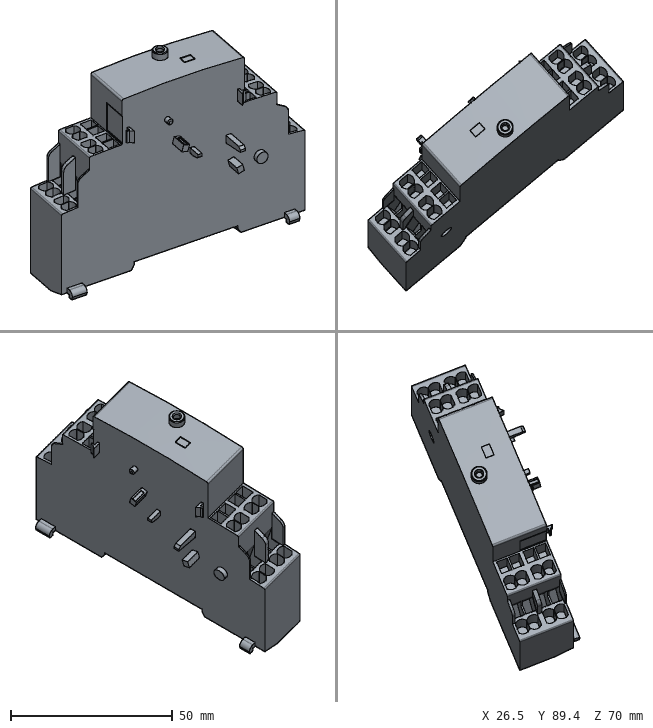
import cadquery as cq
import math

width = 18.1
overlap = 0.9
half_length = 44.7
crown_half = 22.5
crown_mid_z = 67.5
crown_edge_z = 66.7
crown_fillet = 0.7
upper_half = 34.4
upper_inner_z = 50.0
upper_outer_z = 49.6
lower_inner_z = 32.7
lower_outer_z = 31.8
step_fillet = 0.45

rail_z = 4.8
rail_taper_z = 3.75
rail_back = 20.1
rail_front = -18.0
rail_flare = 2.2

corner_start_x = 11.8
corner_z = 2.0

web_half = 38.7
web_top_z = 44.8
web_slope = math.radians(30)
web_round = 2.7
web_base_z = 26.8
web_spans = [(0, 0.9), (8.4, 9.8), (17.5, width)]

square_size = 3.5
square_lefts = [1.1, 5.1, 9.9, 13.95]
square_inner_y = 23.1
square_length = 4.0
square_depth = 8.9
tilted_top_z = 38.1
tilted_outer_y = 37.4
tilted_angle = math.radians(14)
tilted_depth = 12.5
wire_radius = 2.3
wire_entries = [
    (2.6, 0.8, 4.5),
    (6.5, 4.6, 8.3),
    (11.6, 10.0, 13.5),
    (15.65, 13.8, 17.25),
]
wire_row_ys = [30.75, 40.6]
wire_depth = 8.9


def box(x_range, y_range, z_range):
    """Box given by its limits along each axis."""
    spans = [hi - lo for lo, hi in (x_range, y_range, z_range)]
    corner = (x_range[0], y_range[0], z_range[0])
    return cq.Workplane("XY").box(*spans, centered=False).translate(corner)


def prism_x(points, x_start, x_end):
    """Closed (Y, Z) outline swept along X."""
    outline = cq.Workplane("YZ").workplane(offset=x_start).polyline(points).close()
    return outline.extrude(x_end - x_start)


def both_ends(solid):
    """The solid together with its mirror image at the other end."""
    return solid.union(solid.mirror("XZ"))


def housing():
    body = (
        cq.Workplane("YZ")
        .moveTo(half_length, 0)
        .lineTo(half_length, lower_outer_z)
        .lineTo(upper_half, lower_inner_z)
        .lineTo(upper_half, upper_outer_z)
        .lineTo(crown_half, upper_inner_z)
        .lineTo(crown_half, crown_edge_z)
        .threePointArc((0, crown_mid_z), (-crown_half, crown_edge_z))
        .lineTo(-crown_half, upper_inner_z)
        .lineTo(-upper_half, upper_outer_z)
        .lineTo(-upper_half, lower_inner_z)
        .lineTo(-half_length, lower_outer_z)
        .lineTo(-half_length, 0)
        .lineTo(rail_front - rail_flare, 0)
        .lineTo(rail_front, rail_taper_z)
        .lineTo(rail_front, rail_z)
        .lineTo(rail_back, rail_z)
        .lineTo(rail_back, rail_taper_z)
        .lineTo(rail_back + rail_flare, 0)
        .close()
        .extrude(width)
    )
    rounded_edges = [
        (crown_half, crown_edge_z, crown_fillet),
        (upper_half, upper_outer_z, step_fillet),
        (half_length, lower_outer_z, step_fillet),
    ]
    for y, z, radius in rounded_edges:
        for side in (1, -1):
            edge = cq.selectors.NearestToPointSelector((width / 2, side * y, z))
            body = body.edges("|X").edges(edge).fillet(radius)
    corner = (
        cq.Workplane("XZ")
        .polyline([(corner_start_x, 0), (width, corner_z), (width, 0)])
        .close()
        .extrude(half_length, both=True)
    )
    return body.cut(corner)


def webs():
    slope_end_z = web_top_z - (web_half - upper_half) * math.tan(web_slope)
    outline = [
        (upper_half - overlap, web_base_z),
        (web_half, web_base_z),
        (web_half, slope_end_z),
        (upper_half, web_top_z),
        (upper_half - overlap, web_top_z),
    ]
    shoulder = cq.selectors.NearestToPointSelector((width / 2, web_half, slope_end_z))
    solid = None
    for x_start, x_end in web_spans:
        web = prism_x(outline, x_start, x_end).edges("|X").edges(shoulder).fillet(web_round)
        solid = web if solid is None else solid.union(web)
    return both_ends(solid)


def terminal_openings():
    """Release openings and wire entries of one end, mirrored to the other."""
    run_y = -tilted_depth * math.sin(tilted_angle)
    run_z = -tilted_depth * math.cos(tilted_angle)
    wall_point = (upper_half, tilted_top_z)
    floor_point = (tilted_outer_y, lower_inner_z)
    tilted_outline = [
        wall_point,
        floor_point,
        (floor_point[0] + run_y, floor_point[1] + run_z),
        (wall_point[0] + run_y, wall_point[1] + run_z),
    ]
    square_ys = (square_inner_y, square_inner_y + square_length)
    square_zs = (upper_inner_z - square_depth, upper_inner_z)
    cutter = None
    for left in square_lefts:
        right = left + square_size
        opening = box((left, right), square_ys, square_zs)
        opening = opening.union(prism_x(tilted_outline, left, right))
        cutter = opening if cutter is None else cutter.union(opening)
    for y, top_z in zip(wire_row_ys, (upper_inner_z, lower_inner_z)):
        zs = (top_z - wire_depth, top_z)
        for centre, left, right in wire_entries:
            bore = cq.Workplane("XY", origin=(centre, y, zs[0])).circle(wire_radius).extrude(wire_depth)
            flats = box((left, right), (y - wire_radius, y + wire_radius), zs)
            cutter = cutter.union(bore.intersect(flats))
    return both_ends(cutter)


knob_x = 4.6
knob_radius = 2.5
knob_top_z = 70.0
knob_edge = 0.3
knob_bore_diameter = 2.15
knob_bore_depth = 2.2
knob_countersink_diameter = 2.9
countersink_angle = 90

indicator_xs = (8.8, 11.4)
indicator_ys = (4.65, 8.5)
indicator_floor_z = 67.1

panel_left = 9.1
panel_zs = (50.4, 60.7)
panel_depth = 0.3
panel_bevel = 0.5

socket_y = 28.1
socket_z = 28.2
socket_radius = 2.1
socket_depth = 1.8
stud_length = 1.6


def knob():
    base_z = crown_mid_z - overlap
    post = cq.Workplane("XY", origin=(knob_x, 0, base_z)).circle(knob_radius).extrude(knob_top_z - base_z)
    post = post.faces(">Z").edges().chamfer(knob_edge)
    top = post.faces(">Z").workplane()
    return top.cskHole(knob_bore_diameter, knob_countersink_diameter, countersink_angle, knob_bore_depth)


def indicator_recess():
    return box(indicator_xs, indicator_ys, (indicator_floor_z, crown_mid_z))


def panel_recess():
    bottom_z, top_z = panel_zs
    floor_y = -crown_half + panel_depth
    outline = [
        (-crown_half, bottom_z),
        (floor_y, bottom_z),
        (floor_y, top_z - panel_bevel),
        (-crown_half, top_z),
    ]
    return prism_x(outline, panel_left, width)


def disc_x(x_start, length):
    """Short cylinder along X on the socket axis."""
    plane = cq.Workplane("YZ", origin=(x_start, socket_y, socket_z))
    return plane.circle(socket_radius).extrude(length)


root_x = width - overlap

hook_front_ys = (-42.6, -37.2)
hook_back_ys = (37.1, 40.95)
hook_top_z = 3.75
hook_under_z = 1.9
hook_tip_z = 0.8
hook_tip_x = 20.7
hook_bend_x = 19.3
hook_inner_x = 19.1
hook_outer_x = 21.1

snap_zs = (51.3, 55.7)
snap_inner_y = 19.85
snap_outer_y = 20.65
snap_barb_y = 21.8
snap_barb_base_y = 21.0
snap_barb_xs = (19.4, 19.9)
snap_tip_x = 21.0

lever_ys = (15.65, 17.5)
lever_top_z = 40.05
lever_root_z = 37.2
lever_nose_x = 25.6
lever_tip_x = 26.5
lever_tip_zs = (38.35, 39.2)

tongue_ys = (2.5, 3.9)
tongue_root_z = 38.0
tongue_bend_x = 19.85
tongue_corner = (22.0, 38.5)
tongue_tip_x = 22.7
tongue_arc_z = 39.3

bar_tilt = 15
bar_thickness = 2.2
bar_height = 2.5
lower_bar_centre = (17.8, 29.6)
lower_bar_end_x = 23.2
upper_bar_centre = (-2.6, 44.8)
upper_bar_end_x = 23.6
groove_start_x = 19.0
groove_end_margin = 0.2
groove_width = 1.2
groove_depth = 0.3

pin_y = -5.9
pin_z = 53.55
pin_radius = 1.0
pin_end_x = 20.2
pin_chamfer = 0.4


def prism_y(outline, y_range):
    """Closed (X, Z) outline, drawn at Y = 0, swept between two Y limits."""
    start, end = y_range
    return outline.close().extrude(-(end - start)).translate((0, start, 0))


def hook(y_range):
    bend_radius = hook_outer_x - hook_bend_x
    bend_z = hook_top_z - bend_radius
    outline = (
        cq.Workplane("XZ")
        .moveTo(root_x, hook_under_z)
        .lineTo(root_x, hook_top_z)
        .lineTo(hook_bend_x, hook_top_z)
        .radiusArc((hook_outer_x, bend_z), bend_radius)
        .lineTo(hook_tip_x, hook_tip_z)
        .lineTo(hook_inner_x, hook_tip_z)
        .lineTo(hook_inner_x, hook_under_z)
    )
    return prism_y(outline, y_range)


def snaps():
    barb_start_x, barb_end_x = snap_barb_xs
    bottom_z, top_z = snap_zs
    snap = (
        cq.Workplane("XY", origin=(0, 0, bottom_z))
        .moveTo(root_x, snap_inner_y)
        .lineTo(snap_tip_x, snap_inner_y)
        .lineTo(barb_end_x, snap_barb_base_y)
        .lineTo(barb_end_x, snap_barb_y)
        .lineTo(barb_start_x, snap_barb_y)
        .lineTo(barb_start_x, snap_outer_y)
        .lineTo(root_x, snap_outer_y)
        .close()
        .extrude(top_z - bottom_z)
    )
    return both_ends(snap)


def lever():
    tip_low_z, tip_high_z = lever_tip_zs
    points = [
        (root_x, lever_root_z),
        (width, lever_root_z),
        (lever_tip_x, tip_low_z),
        (lever_tip_x, tip_high_z),
        (lever_nose_x, lever_top_z),
        (root_x, lever_top_z),
    ]
    return prism_y(cq.Workplane("XZ").polyline(points), lever_ys)


def tongue():
    outline = (
        cq.Workplane("XZ")
        .moveTo(root_x, lever_top_z)
        .lineTo(root_x, tongue_root_z)
        .lineTo(tongue_bend_x, tongue_root_z)
        .lineTo(*tongue_corner)
        .radiusArc((tongue_tip_x, tongue_arc_z), -(tongue_arc_z - tongue_corner[1]))
        .lineTo(tongue_tip_x, lever_top_z)
    )
    return prism_y(outline, tongue_ys)


def tilted_bar(centre, end_x, tilt, grooved):
    """Flat bar along X, turned about its own axis; the groove runs along its top."""
    half_thickness = bar_thickness / 2
    half_height = bar_height / 2
    bar = box((root_x, end_x), (-half_thickness, half_thickness), (-half_height, half_height))
    if grooved:
        groove_xs = (groove_start_x, end_x - groove_end_margin)
        groove_ys = (-groove_width / 2, groove_width / 2)
        bar = bar.cut(box(groove_xs, groove_ys, (half_height - groove_depth, half_height)))
    return bar.rotate((0, 0, 0), (1, 0, 0), tilt).translate((0, *centre))


def pin():
    plane = cq.Workplane("YZ", origin=(root_x, pin_y, pin_z))
    return plane.circle(pin_radius).extrude(pin_end_x - root_x).faces(">X").chamfer(pin_chamfer)


cutters = [
    terminal_openings(),
    indicator_recess(),
    panel_recess(),
    disc_x(0, socket_depth),
]
additions = [
    knob(),
    disc_x(root_x, width + stud_length - root_x),
    hook(hook_front_ys),
    hook(hook_back_ys),
    snaps(),
    lever(),
    tongue(),
    tilted_bar(lower_bar_centre, lower_bar_end_x, bar_tilt, grooved=False),
    tilted_bar(upper_bar_centre, upper_bar_end_x, -bar_tilt, grooved=True),
    pin(),
]
result = housing().union(webs())
for cutter in cutters:
    result = result.cut(cutter)
for addition in additions:
    result = result.union(addition)